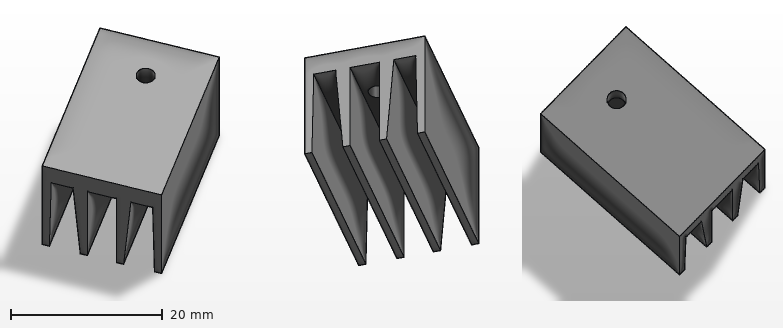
import cadquery as cq

width = 16.5
length = 25.0
height = 16.0

base_thickness = 3.0
fin_tip = 1.0
outer_fin_root = 1.25
inner_fin_root = 2.0
center_gap = 4.0

hole_diameter = 2.5
hole_from_back = 6.0

half_width = width / 2
half_length = length / 2
half_gap = center_gap / 2
root_z = height - base_thickness


def extrude_profile(points):
    """Extrude an XZ outline along the full length of the part."""
    return cq.Workplane("XZ").polyline(points).close().extrude(half_length, both=True)


def make_base():
    return cq.Workplane("XY").workplane(offset=root_z).rect(width, length).extrude(base_thickness)


def make_fin(straight_x, root, tip, direction):
    """Fin with one vertical face at straight_x; the other face tapers towards the tip."""
    return extrude_profile([
        (straight_x, root_z),
        (straight_x + direction * root, root_z),
        (straight_x + direction * tip, 0),
        (straight_x, 0),
    ])


result = make_base()
for side in (-1, 1):
    outer_fin = make_fin(side * half_width, outer_fin_root, fin_tip, -side)
    inner_fin = make_fin(side * half_gap, inner_fin_root, fin_tip, side)
    result = result.union(outer_fin).union(inner_fin)

hole = (
    cq.Workplane("XY")
    .workplane(offset=root_z)
    .center(0, half_length - hole_from_back)
    .circle(hole_diameter / 2)
    .extrude(base_thickness)
)
result = result.cut(hole)